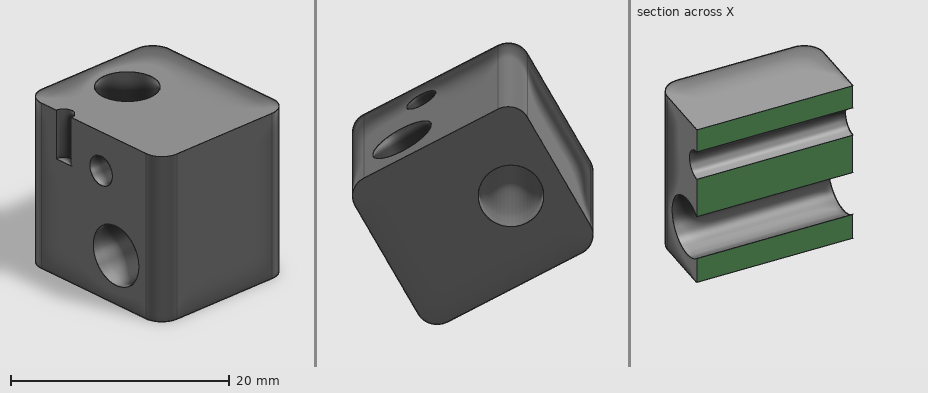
import cadquery as cq

WIDTH = 18.0
DEPTH = 16.0
HEIGHT = 17.0
CORNER_RADIUS = 2.0

VERTICAL_BORE_DIAMETER = 6.0
VERTICAL_BORE_X = 5.0
VERTICAL_BORE_Y = DEPTH / 2

LARGE_BORE_DIAMETER = 6.1
LARGE_BORE_X = 12.0
LARGE_BORE_Z = 5.0
SMALL_BORE_DIAMETER = 3.0
SMALL_BORE_X = 10.0
SMALL_BORE_Z = HEIGHT - 4.0

NOTCH_DIAMETER = 2.0
NOTCH_DEPTH = 5.0
NOTCH_X = VERTICAL_BORE_X
NOTCH_Y = 0.0


def rounded_block():
    """Block with its four vertical edges rounded."""
    block = cq.Workplane("XY").box(WIDTH, DEPTH, HEIGHT, centered=False)
    return block.edges("|Z").fillet(CORNER_RADIUS)


def vertical_cylinder(diameter, x, y, length):
    """Cylinder along Z, reaching down from the top face by the given length."""
    plane = cq.Workplane("XY", origin=(x, y, HEIGHT - length))
    return plane.circle(diameter / 2).extrude(length)


def front_to_back_cylinder(diameter, x, z):
    """Cylinder along Y through the whole depth of the block."""
    plane = cq.Workplane("XZ", origin=(x, DEPTH, z))
    return plane.circle(diameter / 2).extrude(DEPTH)


result = (
    rounded_block()
    .cut(vertical_cylinder(VERTICAL_BORE_DIAMETER, VERTICAL_BORE_X, VERTICAL_BORE_Y, HEIGHT))
    .cut(front_to_back_cylinder(LARGE_BORE_DIAMETER, LARGE_BORE_X, LARGE_BORE_Z))
    .cut(front_to_back_cylinder(SMALL_BORE_DIAMETER, SMALL_BORE_X, SMALL_BORE_Z))
    .cut(vertical_cylinder(NOTCH_DIAMETER, NOTCH_X, NOTCH_Y, NOTCH_DEPTH))
)